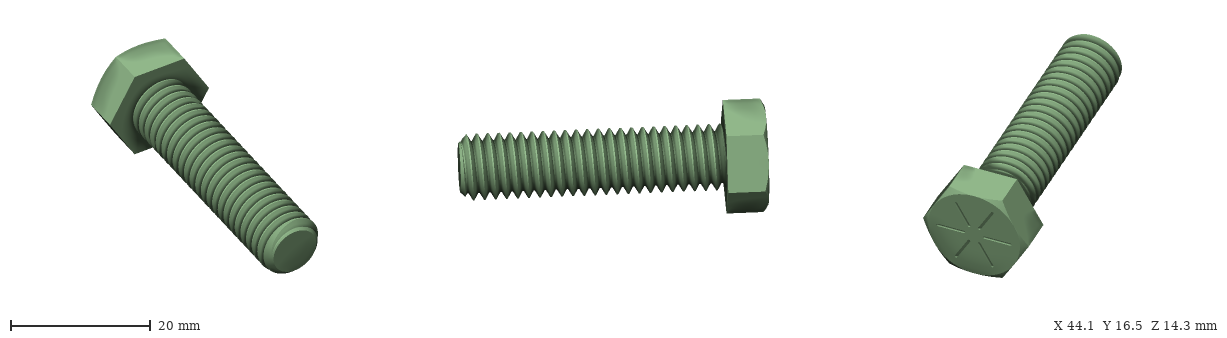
import cadquery as cq
import math

INCH = 25.4
SHANK_LENGTH = 1.5 * INCH
MAJOR_DIAMETER = 3 / 8 * INCH
PITCH = INCH / 16
HEAD_WIDTH = 9 / 16 * INCH
HEAD_HEIGHT = 15 / 64 * INCH

FLANK_ANGLE = math.radians(30)
CREST_FLAT = PITCH / 8
ROOT_FLAT = PITCH / 8
CREST_OFFSET = -0.07
END_DIAMETER = 7.1

GROOVE_TURNS = 3
SEAM_ANGLE = 140
SEWING_TOLERANCE = 1e-4
CUT_CLEARANCE = 0.05

HEAD_CHAMFER_ANGLE = math.radians(30)
MARK_COUNT = 6
MARK_INNER_RADIUS = 1.4
MARK_OUTER_RADIUS = 5.85
MARK_WIDTH = 0.42
MARK_DEPTH = 0.3

major_radius = MAJOR_DIAMETER / 2
thread_depth = (PITCH - CREST_FLAT - ROOT_FLAT) / 2 / math.tan(FLANK_ANGLE)
minor_radius = major_radius - thread_depth
head_corner_diameter = HEAD_WIDTH / math.cos(math.radians(30))


def make_head():
    """Hexagon with corners on +Y and -Y, its outer corners turned off by a cone."""
    hexagon = cq.Workplane("YZ").polygon(6, head_corner_diameter).extrude(-HEAD_HEIGHT)
    corner_radius = head_corner_diameter / 2
    face_radius = HEAD_WIDTH / 2
    chamfer_length = (corner_radius - face_radius) * math.tan(HEAD_CHAMFER_ANGLE)
    turned_blank = (
        cq.Workplane("XY")
        .moveTo(0, 0)
        .lineTo(0, corner_radius)
        .lineTo(-HEAD_HEIGHT + chamfer_length, corner_radius)
        .lineTo(-HEAD_HEIGHT, face_radius)
        .lineTo(-HEAD_HEIGHT, 0)
        .close()
        .revolve(360, (0, 0, 0), (1, 0, 0))
    )
    return hexagon.intersect(turned_blank)


def make_grade_marks():
    """Shallow radial slots with round ends, evenly spaced on the head face."""
    mark_length = MARK_OUTER_RADIUS - MARK_INNER_RADIUS
    mark_center = (MARK_OUTER_RADIUS + MARK_INNER_RADIUS) / 2
    return (
        cq.Workplane("YZ", origin=(-HEAD_HEIGHT, 0, 0))
        .polarArray(mark_center, 0, 360, MARK_COUNT)
        .slot2D(mark_length, MARK_WIDTH)
        .extrude(MARK_DEPTH)
    )


def make_thread_groove():
    """Three turns of right-hand groove, made along Z and then turned onto the X axis."""
    helix = cq.Wire.makeHelix(PITCH, GROOVE_TURNS * PITCH, minor_radius)
    root_half_width = ROOT_FLAT / 2
    mouth_radius = major_radius + CUT_CLEARANCE
    mouth_half_width = root_half_width + (thread_depth + CUT_CLEARANCE) * math.tan(FLANK_ANGLE)
    groove = (
        cq.Workplane("XZ")
        .moveTo(minor_radius, -root_half_width)
        .lineTo(mouth_radius, -mouth_half_width)
        .lineTo(mouth_radius, mouth_half_width)
        .lineTo(minor_radius, root_half_width)
        .close()
        .sweep(cq.Workplane(obj=helix), isFrenet=True)
    )
    groove_start = CREST_OFFSET + PITCH / 2 - PITCH
    return groove.rotate((0, 0, 0), (1, 1, 1), 120).translate((groove_start, 0, 0))


def make_thread_slice():
    """One pitch of threaded rod, whose two flat ends match when slices are stacked."""
    blank = cq.Workplane("YZ").circle(major_radius).extrude(PITCH)
    return blank.rotate((0, 0, 0), (1, 0, 0), SEAM_ANGLE).cut(make_thread_groove(), clean=False)


def make_point_cone():
    """Solid cone, 45 degrees, that bounds the chamfered point on the last slice."""
    base_radius = END_DIAMETER / 2 + PITCH
    return (
        cq.Workplane("XY")
        .lineTo(0, base_radius)
        .lineTo(base_radius, 0)
        .close()
        .revolve(360, (0, 0, 0), (1, 0, 0))
    )


def make_threaded_shank():
    """Row of identical thread slices, the last one chamfered, sewn into one solid."""
    thread_slice = make_thread_slice()
    last_slice = thread_slice.intersect(make_point_cone(), clean=False)
    slice_count = round(SHANK_LENGTH / PITCH)
    last_start = (slice_count - 1) * PITCH
    thread_faces = thread_slice.faces("not |X")
    skin = thread_slice.faces("<X").vals()
    for index in range(slice_count - 1):
        skin += thread_faces.translate((index * PITCH, 0, 0)).vals()
    skin += last_slice.faces("not <X").translate((last_start, 0, 0)).vals()
    shell = cq.occ_impl.shapes.shell(skin, tol=SEWING_TOLERANCE)
    return cq.Workplane(obj=cq.Solid.makeSolid(shell))


head = make_head().cut(make_grade_marks())
result = head.union(make_threaded_shank(), clean=False)